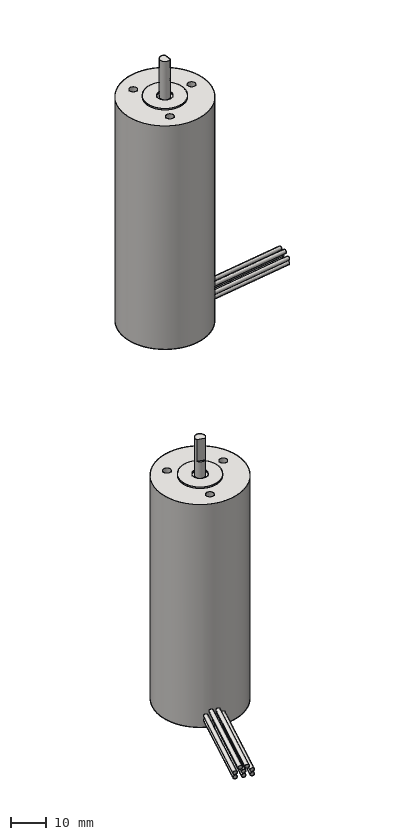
import cadquery as cq

body_diameter = 28.0
body_length = 77.0
overall_height = 90.2

pilot_diameter = 12.7
pilot_height = 0.5
recess_diameter = 4.6
recess_depth = pilot_height

shaft_diameter = 3.17
flat_length = 7.5
flat_depth = 0.6
shaft_root_z = body_length / 2

mount_hole_diameter = 2.46
mount_circle_radius = 9.5
mount_hole_depth = 4.0
mount_hole_count = 3
first_hole_angle = 90.0

wire_diameter = 1.3
wire_exposed_length = 28.0
wire_end_y = body_diameter / 2 + wire_exposed_length
wire_root_depth = 2.0
wire_root_y = body_diameter / 2 - wire_root_depth
wire_row_pitch = 1.5
bundle_center_z = 4.0
outer_wire_x = 2.5
upper_wire_x = 1.0
wire_rows = [
    (-wire_row_pitch, [-outer_wire_x, 0.0, outer_wire_x]),
    (0.0, [-outer_wire_x, 0.0, outer_wire_x]),
    (wire_row_pitch, [-upper_wire_x, upper_wire_x]),
]


def cylinder(diameter, bottom_z, top_z):
    """Upright cylinder on the motor axis."""
    base = cq.Workplane("XY").workplane(offset=bottom_z)
    return base.circle(diameter / 2).extrude(top_z - bottom_z)


def make_housing():
    """Body and pilot, recessed around the shaft and drilled for mounting."""
    pilot_top = body_length + pilot_height
    housing = cylinder(body_diameter, 0, body_length)
    housing = housing.union(cylinder(pilot_diameter, body_length, pilot_top))
    housing = housing.cut(cylinder(recess_diameter, pilot_top - recess_depth, pilot_top))
    mount_holes = (
        cq.Workplane("XY")
        .workplane(offset=body_length - mount_hole_depth)
        .polarArray(mount_circle_radius, first_hole_angle, 360, mount_hole_count)
        .circle(mount_hole_diameter / 2)
        .extrude(mount_hole_depth)
    )
    return housing.cut(mount_holes)


def make_shaft():
    """Shaft rooted inside the body, with the flat cut into its free end."""
    shaft = cylinder(shaft_diameter, shaft_root_z, overall_height)
    flat_y = shaft_diameter / 2 - flat_depth
    flat_cutter = (
        cq.Workplane("XY")
        .box(shaft_diameter, shaft_diameter, flat_length, centered=(True, False, False))
        .translate((0, flat_y, overall_height - flat_length))
    )
    return shaft.cut(flat_cutter)


def make_wire(x, z):
    """One straight lead running along +Y from inside the body."""
    return (
        cq.Workplane("XZ", origin=(x, wire_root_y, z))
        .circle(wire_diameter / 2)
        .extrude(wire_root_y - wire_end_y)
    )


result = make_housing().union(make_shaft())
for row_offset, wire_positions in wire_rows:
    for wire_x in wire_positions:
        result = result.union(make_wire(wire_x, bundle_center_z + row_offset))